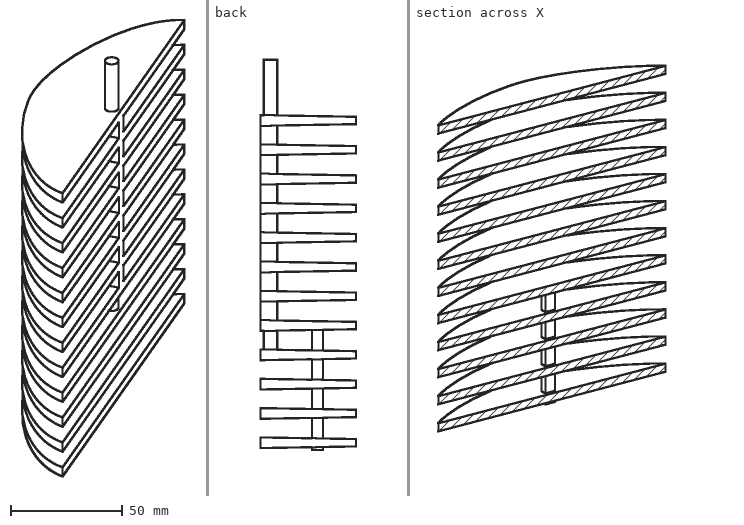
import math

import cadquery as cq

height = 175.5
plate_width = 158.0
plate_depth = 43.0

plate_count = 12
back_thickness = 5.0
face_slope = 1.0
plate_pitch = 13.2
lowest_plate_middle = 3.3

half_width = plate_width / 2
crown_y = 0.4
tip_handle_x = 24.5
tip_handle_y = 6.8
crown_handle = 26.3

rod_diameter = 6.1
rod_x = -4.5
rod_y = -3.0
rod_lowest_plate = 4
upper_spine_lowest_plate = 5

lower_spine_x = -25.6
lower_spine_y = 0.2
lower_spine_width = 5.1
lower_spine_top_plate = 5


def plate_middle(number):
    """Height of the middle of a plate, counted from 1 at the bottom."""
    return lowest_plate_middle + (number - 1) * plate_pitch


def make_plate():
    """Bow-shaped plate centred on Z = 0, with its back edge on X = 0, thinning towards the crown."""
    crown = (-plate_depth, crown_y)
    bow = (
        cq.Workplane("XY", origin=(0, 0, -back_thickness / 2))
        .moveTo(0, half_width)
        .bezier([
            (0, half_width),
            (-tip_handle_x, half_width - tip_handle_y),
            (-plate_depth, crown_y + crown_handle),
            crown,
        ])
        .bezier([
            crown,
            (-plate_depth, crown_y - crown_handle),
            (-tip_handle_x, tip_handle_y - half_width),
            (0, -half_width),
        ])
        .close()
        .extrude(back_thickness)
    )
    half_back = back_thickness / 2
    half_crown = half_back - plate_depth * math.tan(math.radians(face_slope))
    wedge = (
        cq.Workplane("XZ")
        .polyline([
            (0, half_back),
            (-plate_depth, half_crown),
            (-plate_depth, -half_crown),
            (0, -half_back),
        ])
        .close()
        .extrude(half_width, both=True)
    )
    return bow.intersect(wedge)


def make_rod(bottom, top):
    """Round rod between two heights."""
    return (
        cq.Workplane("XY", origin=(rod_x, rod_y, bottom))
        .circle(rod_diameter / 2)
        .extrude(top - bottom)
    )


def make_spine(x, y, width, back_x, bottom, top):
    """Wall with a half-round front centred on (x, y) and flat sides running back to back_x."""
    radius = width / 2
    return (
        cq.Workplane("XY", origin=(0, 0, bottom))
        .moveTo(back_x, y + radius)
        .lineTo(x, y + radius)
        .threePointArc((x - radius, y), (x, y - radius))
        .lineTo(back_x, y - radius)
        .close()
        .extrude(top - bottom)
    )


rod = make_rod(plate_middle(rod_lowest_plate), height)

upper_spine = make_spine(
    rod_x,
    rod_y,
    rod_diameter,
    0,
    plate_middle(upper_spine_lowest_plate),
    plate_middle(plate_count),
)

lower_spine = make_spine(
    lower_spine_x,
    lower_spine_y,
    lower_spine_width,
    lower_spine_x + lower_spine_width / 2,
    0,
    plate_middle(lower_spine_top_plate),
)

result = rod.union(upper_spine).union(lower_spine)

plate = make_plate()
for number in range(1, plate_count + 1):
    result = result.union(plate.translate((0, 0, plate_middle(number))))